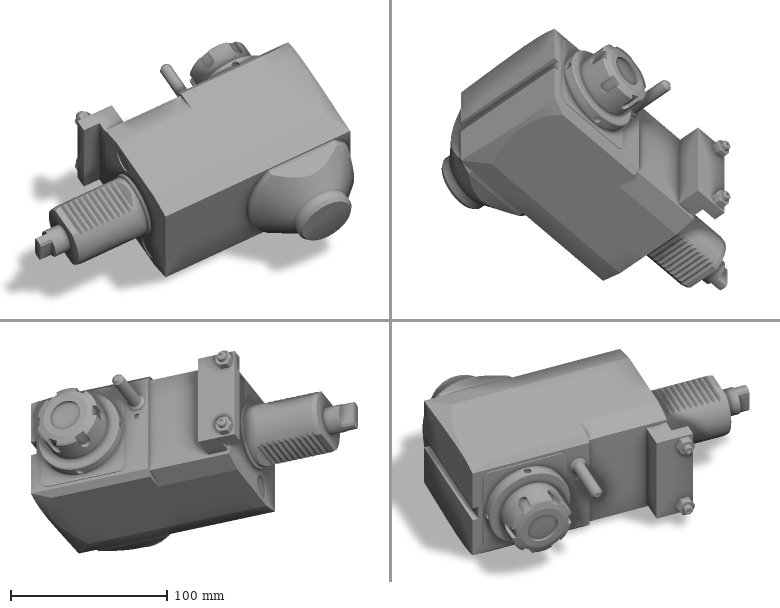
import cadquery as cq
import math


height = 75.0
half_height = height / 2
back_y = 136.0
right_x = 39.0
left_lower_x = -39.0
left_upper_x = -41.4
step_y = 55.0
edge_drop = 4.0
bevel_angle = 15
bevel_run = edge_drop / math.tan(math.radians(bevel_angle))
edge_z = half_height - edge_drop
corner_depth = 12.7
back_crown = [(-33.3, 1.98), (-10.5, 0.94), (18.7, 2.7)]
top_crown = [(-27.7, 6.0), (-12.5, 3.0), (6.9, 6.2)]
keyway_width = 9.5
keyway_depth = 4.0
plug_x = 16.0
plug_z = 27.9
plug_diameter = 15.0
plug_depth = 0.8

spindle_y = 99.8
pad_width = 57.8
pad_height = 62.6
pad_radius = 5.2
pad_x = -42.0
flange_radius = 28.0
flange_x = -50.1
flange_chamfer = 0.6
flange_hole_diameter = 5.0
flange_hole_depth = 2.0
neck_radius = 20.2
nut_radius = 21.0
nut_back_x = -51.0
nut_edge_x = -69.0
nut_cone_x = -69.9
nut_cone_radius = 20.0
nut_front_x = -71.3
nut_front_radius = 15.2
bore_radius = 10.5
bore_depth = 2.0
slot_count = 6
slot_width = 7.0
slot_end_x = -58.5
slot_floor_radius = 18.0

pin_y = 63.0
pin_z = 17.5
pin_radius = 4.0
pin_tip_x = -74.0
pin_chamfer = 1.9
collar_radius = 5.8
collar_x = -43.5
screw_z = 7.5
screw_recess = 0.2
screw_socket = 4.2
screw_socket_depth = 2.0

cover_radius = 40.1
cover_rim_x = 43.3
cover_nose_radius = 19.5
cover_nose_x = cover_rim_x + cover_radius - cover_nose_radius
cover_end_x = 72.2
cover_end_chamfer_x = 2.5
cover_end_chamfer_r = 1.9
cover_flat_y = 131.7
cover_flat_z = 32.2

shank_radius = 20.0
shank_end_y = -52.8
shank_chamfer_y = 3.1
shank_chamfer_r = 0.6
bead_radius = 21.5
bead_width = 2.5
relief_radius = 19.5
relief_end_y = -3.3
flat_z = 16.0
flat_start_y = -9.0
tooth_count = 10
tooth_pitch = 4.0
tooth_depth = 1.55
first_groove_y = -11.6

tang_radius = 9.0
tang_shoulder_y = -63.6
total_length = 208
tang_end_y = back_y - total_length
tang_thickness = 7.5
tang_chamfer = 1.2
tang_fillet = 1.0

bracket_height = 62.2
bracket_top_y = 14.4
bracket_bottom_y = -11.0
bracket_face_x = -55.7
bracket_leg = 8.3
bracket_arm_y = 0.5
nut_y = -4.8
nut_z = 24.8
hex_flats = 10.2
hex_face_x = -60.7
stud_radius = 3.1
stud_tip_x = -64.0
stud_chamfer = 0.6
stud_socket = 3.0
stud_socket_depth = 1.2


def box(x0, x1, y0, y1, z0, z1):
    return cq.Workplane("XY").box(x1 - x0, y1 - y0, z1 - z0, centered=False).translate((x0, y0, z0))


def along_x(x, y, z):
    """Workplane facing +X: local x is Y, local y is Z."""
    return cq.Workplane("YZ", origin=(x, y, z))


def turned_on_x(points, y, z):
    """Solid of revolution about a line parallel to X; points are (x, radius)."""
    return cq.Workplane("XY").polyline(points).close().revolve(360, (0, 0), (1, 0)).translate((0, y, z))


def slope_cutter():
    """Wedge above the curved slope at the back of the housing's top."""
    left_foot = cq.Vector(left_upper_x, back_y, edge_z)
    right_foot = cq.Vector(right_x, back_y, edge_z)
    front_y = back_y - corner_depth
    left_top = cq.Vector(left_upper_x + edge_drop, front_y, half_height)
    right_top = cq.Vector(right_x - bevel_run, front_y, half_height)
    left_corner = cq.Vector(left_upper_x, back_y, half_height)
    right_corner = cq.Vector(right_x, back_y, half_height)

    back_curve = cq.Edge.makeSpline([
        left_foot,
        *[cq.Vector(x, back_y, half_height - drop) for x, drop in back_crown],
        right_foot,
    ])
    top_curve = cq.Edge.makeSpline([
        left_top,
        *[cq.Vector(x, back_y - setback, half_height) for x, setback in top_crown],
        right_top,
    ])

    def face(*edges):
        return cq.Face.makeFromWires(cq.Wire.assembleEdges(edges))

    line = cq.Edge.makeLine
    ridge = line(left_corner, right_corner)
    left_rise = line(left_foot, left_corner)
    right_rise = line(right_foot, right_corner)
    left_run = line(left_top, left_corner)
    right_run = line(right_top, right_corner)
    faces = [
        cq.Face.makeRuledSurface(back_curve, top_curve),
        face(back_curve, right_rise, ridge, left_rise),
        face(top_curve, right_run, ridge, left_run),
        face(left_rise, left_run, line(left_top, left_foot)),
        face(right_rise, right_run, line(right_top, right_foot)),
    ]
    return cq.Workplane(cq.Solid.makeSolid(cq.Shell.makeShell(faces)))


def housing_section(left_x, left_run, y0, y1):
    """Length of housing with bevelled long edges."""
    points = [
        (left_x, -edge_z),
        (left_x + left_run, -half_height),
        (right_x - bevel_run, -half_height),
        (right_x, -edge_z),
        (right_x, edge_z),
        (right_x - bevel_run, half_height),
        (left_x + left_run, half_height),
        (left_x, edge_z),
    ]
    return cq.Workplane("XZ", origin=(0, y0, 0)).polyline(points).close().extrude(y0 - y1)


def housing():
    body = housing_section(left_lower_x, bevel_run, 0, step_y)
    body = body.union(housing_section(left_upper_x, edge_drop, step_y, back_y))
    cutter = slope_cutter()
    body = body.cut(cutter).cut(cutter.mirror("XY"))
    half_key = keyway_width / 2
    body = body.cut(box(left_upper_x, right_x, back_y - keyway_depth, back_y, -half_key, half_key))
    plugs = (
        cq.Workplane("XZ")
        .pushPoints([(-plug_x, plug_z), (plug_x, -plug_z)])
        .circle(plug_diameter / 2)
        .extrude(-plug_depth)
    )
    return body.cut(plugs)


def spindle():
    pad = (
        along_x(pad_x, spindle_y, 0)
        .rect(pad_width, pad_height)
        .extrude(left_upper_x - pad_x)
        .edges("|X")
        .fillet(pad_radius)
    )
    nose = turned_on_x([
        (left_upper_x, 0),
        (left_upper_x, flange_radius - flange_chamfer),
        (pad_x, flange_radius - flange_chamfer),
        (pad_x - flange_chamfer, flange_radius),
        (flange_x + flange_chamfer, flange_radius),
        (flange_x, flange_radius - flange_chamfer),
        (flange_x, neck_radius),
        (nut_back_x, neck_radius),
        (nut_back_x, nut_radius),
        (nut_edge_x, nut_radius),
        (nut_cone_x, nut_cone_radius),
        (nut_front_x, nut_front_radius),
        (nut_front_x, bore_radius),
        (nut_front_x + bore_depth, bore_radius),
        (nut_front_x + bore_depth, 0),
    ], spindle_y, 0)

    slot_centre_x = slot_end_x - slot_width / 2
    slot = (
        cq.Workplane("XZ", origin=(0, -slot_floor_radius, 0))
        .moveTo(nut_front_x, -slot_width / 2)
        .lineTo(slot_centre_x, -slot_width / 2)
        .threePointArc((slot_end_x, 0), (slot_centre_x, slot_width / 2))
        .lineTo(nut_front_x, slot_width / 2)
        .close()
        .extrude(nut_radius)
    )
    for i in range(slot_count):
        turn = i * 360 / slot_count
        nose = nose.cut(slot.rotate((0, 0, 0), (1, 0, 0), turn).translate((0, spindle_y, 0)))

    hole_x = (flange_x + pad_x) / 2
    hole_radius = flange_hole_diameter / 2
    hole_floor = flange_radius - flange_hole_depth
    hole = (
        cq.Workplane("XZ")
        .polyline([
            (0, hole_floor - hole_radius),
            (hole_radius, hole_floor),
            (hole_radius, flange_radius),
            (0, flange_radius),
        ])
        .close()
        .revolve(360, (0, 0), (0, 1))
        .translate((hole_x, 0, 0))
    )
    for turn in (0, 90, 180, 270):
        nose = nose.cut(hole.rotate((0, 0, 0), (1, 0, 0), turn).translate((0, spindle_y, 0)))
    return pad.union(nose)


def coolant_pin():
    return turned_on_x([
        (left_upper_x, 0),
        (left_upper_x, collar_radius),
        (pad_x, collar_radius),
        (collar_x, pin_radius),
        (pin_tip_x + pin_chamfer, pin_radius),
        (pin_tip_x, pin_radius - pin_chamfer),
        (pin_tip_x, 0),
    ], pin_y, pin_z)


def screw_pocket():
    """Sunk head of the screw beside the pin, with its hexagon socket."""
    face = along_x(left_upper_x, pin_y, screw_z)
    head = face.circle(collar_radius - screw_recess).extrude(screw_recess)
    socket = face.transformed(rotate=(0, 0, 30)).polygon(6, screw_socket).extrude(screw_socket_depth)
    return head.union(socket)


def cover():
    nose = turned_on_x([
        (right_x, 0),
        (right_x, cover_radius),
        (cover_rim_x, cover_radius),
        (cover_nose_x, cover_nose_radius),
        (cover_end_x - cover_end_chamfer_x, cover_nose_radius),
        (cover_end_x, cover_nose_radius - cover_end_chamfer_r),
        (cover_end_x, 0),
    ], spindle_y, 0)
    end_z = cover_flat_z - (cover_end_x - cover_rim_x) * math.tan(math.radians(bevel_angle))
    limits = (
        cq.Workplane("XZ", origin=(0, cover_flat_y, 0))
        .polyline([
            (right_x, -cover_flat_z),
            (cover_rim_x, -cover_flat_z),
            (cover_end_x, -end_z),
            (cover_end_x, end_z),
            (cover_rim_x, cover_flat_z),
            (right_x, cover_flat_z),
        ])
        .close()
        .extrude(cover_flat_y)
    )
    return nose.intersect(limits)


def serrated_flat():
    """Material removed above the shank's upper toothed flat."""
    top = shank_radius + tooth_depth
    ramp_y = flat_start_y + top - flat_z
    points = [(ramp_y, top), (flat_start_y, flat_z)]
    for i in range(tooth_count):
        groove_y = first_groove_y - i * tooth_pitch
        points.append((groove_y + tooth_depth, flat_z))
        points.append((groove_y, flat_z - tooth_depth))
        points.append((groove_y - tooth_depth, flat_z))
    points += [(shank_end_y, flat_z), (shank_end_y, top)]
    return cq.Workplane("YZ").polyline(points).close().extrude(shank_radius, both=True)


def shank():
    bead_flank = bead_radius - bead_width / 2
    body = (
        cq.Workplane("XY")
        .lineTo(bead_flank, 0)
        .threePointArc((bead_radius, -bead_width / 2), (bead_flank, -bead_width))
        .lineTo(relief_radius, -bead_width)
        .lineTo(relief_radius, relief_end_y)
        .lineTo(shank_radius, relief_end_y)
        .lineTo(shank_radius, shank_end_y + shank_chamfer_y)
        .lineTo(shank_radius - shank_chamfer_r, shank_end_y)
        .lineTo(0, shank_end_y)
        .close()
        .revolve(360, (0, 0), (0, 1))
    )
    cutter = serrated_flat()
    return body.cut(cutter).cut(cutter.mirror("XY"))


def drive_tang():
    stub_length = shank_end_y - tang_shoulder_y
    stub = cq.Workplane("XZ", origin=(0, shank_end_y, 0)).circle(tang_radius).extrude(stub_length)
    half = tang_thickness / 2
    blade = (
        cq.Workplane("XZ", origin=(0, tang_shoulder_y, 0))
        .circle(tang_radius)
        .extrude(tang_shoulder_y - tang_end_y)
        .intersect(box(-half, half, tang_end_y, tang_shoulder_y, -tang_radius, tang_radius))
        .edges("|Y")
        .chamfer(tang_chamfer)
    )
    margin = tang_fillet / 5
    root_edges = cq.selectors.BoxSelector(
        (-half - margin, tang_shoulder_y - margin, -tang_radius),
        (half + margin, tang_shoulder_y + margin, tang_radius),
    )
    return stub.union(blade).edges(root_edges).edges("|Z").fillet(tang_fillet)


def stud_and_nut(z):
    corner_radius = hex_flats / math.sqrt(3)
    thickness = bracket_face_x - hex_face_x
    nut = along_x(hex_face_x, nut_y, z).polygon(6, 2 * corner_radius).extrude(thickness)
    rounding = turned_on_x([
        (bracket_face_x, 0),
        (bracket_face_x, corner_radius),
        (hex_face_x + corner_radius - hex_flats / 2, corner_radius),
        (hex_face_x, hex_flats / 2),
        (hex_face_x, 0),
    ], nut_y, z)
    stud = (
        along_x(stud_tip_x, nut_y, z)
        .circle(stud_radius)
        .extrude(hex_face_x - stud_tip_x)
        .faces("<X")
        .chamfer(stud_chamfer)
    )
    socket = along_x(stud_tip_x, nut_y, z).polygon(6, stud_socket).extrude(stud_socket_depth)
    return nut.intersect(rounding).union(stud).cut(socket)


def bracket():
    half = bracket_height / 2
    leg_back_x = bracket_face_x + bracket_leg
    leg = box(bracket_face_x, leg_back_x, bracket_bottom_y, bracket_top_y, -half, half)
    arm = box(leg_back_x, left_lower_x, bracket_arm_y, bracket_top_y, -half, half)
    body = leg.union(arm)
    for z in (-nut_z, nut_z):
        body = body.union(stud_and_nut(z))
    return body


result = (
    housing()
    .union(spindle())
    .union(coolant_pin())
    .cut(screw_pocket())
    .union(cover())
    .union(shank())
    .union(drive_tang())
    .union(bracket())
)